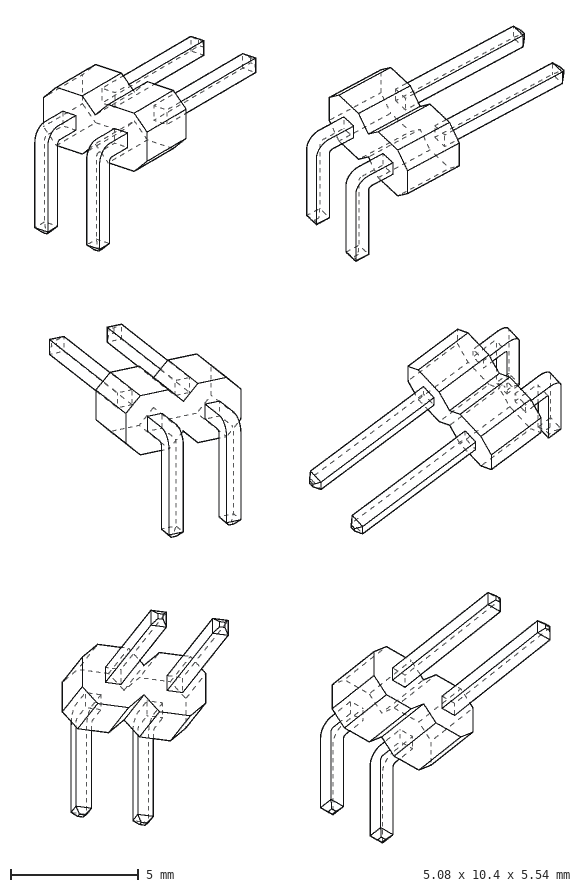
import cadquery as cq

pitch = 2.54
pin_count = 2
corner_cut = pitch / 4
pin_width = 0.64
tip_length = 0.23
tip_inset = 0.21
rear_reach = 6.0
leg_offset = 1.5
leg_reach = 3.0
bend_outer_radius = 0.64
bend_inner_radius = 0.15

half_cell = pitch / 2
half_pin = pin_width / 2
rear_end = half_cell + rear_reach
leg_center = -half_cell - leg_offset
leg_front = leg_center - half_pin
leg_back = leg_center + half_pin
leg_end = -half_cell - leg_reach
pin_positions = [(i - (pin_count - 1) / 2) * pitch for i in range(pin_count)]


def housing_cell(x):
    """Octagonal prism around one pin, running along Y."""
    return (
        cq.Workplane("XY")
        .box(pitch, pitch, pitch)
        .edges("|Y")
        .chamfer(corner_cut)
        .translate((x, 0, 0))
    )


def taper(plane):
    """Pyramidal pin tip that grows from the given plane along its normal."""
    tip_width = pin_width - 2 * tip_inset
    return (
        cq.Workplane(plane)
        .rect(pin_width, pin_width)
        .workplane(offset=tip_length)
        .rect(tip_width, tip_width)
        .loft(ruled=True)
    )


def bent_pin(x):
    """Square pin that leaves the housing front and turns down into a leg."""
    tip_rear_start = rear_end - tip_length
    tip_leg_start = leg_end + tip_length
    bar = (
        cq.Workplane("YZ")
        .moveTo(tip_rear_start, half_pin)
        .lineTo(leg_front + bend_outer_radius, half_pin)
        .radiusArc((leg_front, half_pin - bend_outer_radius), -bend_outer_radius)
        .lineTo(leg_front, tip_leg_start)
        .lineTo(leg_back, tip_leg_start)
        .lineTo(leg_back, -half_pin - bend_inner_radius)
        .radiusArc((leg_back + bend_inner_radius, -half_pin), bend_inner_radius)
        .lineTo(tip_rear_start, -half_pin)
        .close()
        .extrude(half_pin, both=True)
    )
    rear_plane = cq.Plane(origin=(0, tip_rear_start, 0), xDir=(1, 0, 0), normal=(0, 1, 0))
    leg_plane = cq.Plane(origin=(0, leg_center, tip_leg_start), xDir=(1, 0, 0), normal=(0, 0, -1))
    pin = bar.union(taper(rear_plane)).union(taper(leg_plane))
    return pin.translate((x, 0, 0))


result = housing_cell(pin_positions[0])
for position in pin_positions[1:]:
    result = result.union(housing_cell(position))
for position in pin_positions:
    result = result.union(bent_pin(position))
result = result.clean()